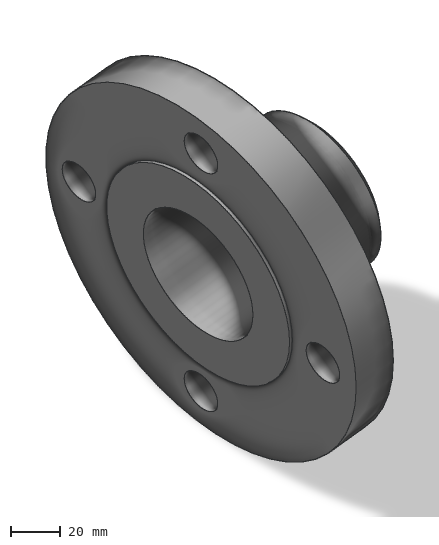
import cadquery as cq

flange_diameter = 177.8
overall_length = 69.9
flange_thickness = 21.0
raised_face_diameter = 104.7
raised_face_height = 1.6
bore_diameter = 62.8

neck_diameter = 73.3
neck_land_length = 8.7
hub_base_diameter = 90.7
bevel_length = 2.8
bevel_depth = 3.5
blend_radius = 6.0

bolt_count = 4
bolt_hole_diameter = 19.2
bolt_circle_diameter = 139.8

face_y = -overall_length / 2
flange_front_y = face_y + raised_face_height
flange_back_y = flange_front_y + flange_thickness
neck_end_y = face_y + overall_length
neck_start_y = neck_end_y - neck_land_length


def ring_edge(y, radius):
    """Select the circular edge at station y with the given radius."""
    tolerance = 0.2
    corner = (radius + tolerance, y + tolerance, radius + tolerance)
    opposite = (-radius - tolerance, y - tolerance, -radius - tolerance)
    return cq.selectors.BoxSelector(opposite, corner, boundingbox=True)


def make_body():
    """Revolve the flange, raised face and weld neck around Y."""
    bore_radius = bore_diameter / 2
    neck_radius = neck_diameter / 2
    profile = [
        (bore_radius, face_y),
        (raised_face_diameter / 2, face_y),
        (raised_face_diameter / 2, flange_front_y),
        (flange_diameter / 2, flange_front_y),
        (flange_diameter / 2, flange_back_y),
        (hub_base_diameter / 2, flange_back_y),
        (neck_radius, neck_start_y),
        (neck_radius, neck_end_y - bevel_length),
        (neck_radius - bevel_depth, neck_end_y),
        (bore_radius, neck_end_y),
    ]
    body = cq.Workplane("XY").polyline(profile).close().revolve(360, (0, 0, 0), (0, 1, 0))

    body = body.edges(ring_edge(flange_back_y, hub_base_diameter / 2)).fillet(blend_radius)
    return body.edges(ring_edge(neck_start_y, neck_radius)).fillet(blend_radius)


def make_bolt_holes():
    """Cylinders through the flange, evenly spaced on the bolt circle."""
    return (
        cq.Workplane("XZ", origin=(0, flange_back_y, 0))
        .polarArray(bolt_circle_diameter / 2, 0, 360, bolt_count)
        .circle(bolt_hole_diameter / 2)
        .extrude(flange_thickness)
    )


result = make_body().cut(make_bolt_holes())